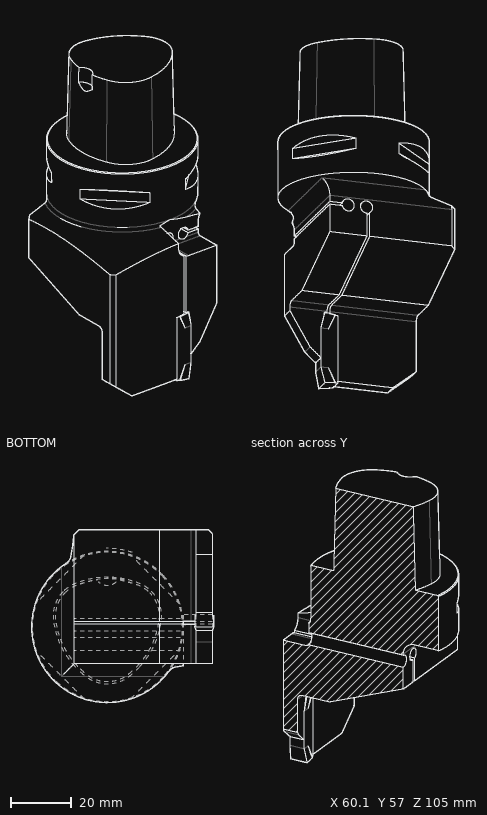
import cadquery as cq
import math


shank_length = 30.0
lobe_mean_radius = 17.6
lobe_offset = 1.2
shank_taper = 0.7
lobe_count = 3
lobe_half_angle = 26

notch_radius = 4.2
notch_axis_y = -17.8
notch_depth = 5.5
notch_tip_length = 3.2

flange_radius = 25.0
flange_height = 20.1
flange_chamfer = 0.3
gripper_count = 4
gripper_z = -9.9
gripper_floor_radius = 22.2
gripper_floor_half_height = 1.8
gripper_flank_angle = 30
gripper_reach = 27.3

block_left = -10.9
block_right = 34.6
block_front = -32.0
block_back = 12.1
block_top = -flange_height
flare_radius = 4.2
left_chamfer = 1.6
right_chamfer = 1.4
shoulder_angle = 15
shoulder_fillet_width = 0.9
shoulder_outer_radius = 52.5
slope_start_z = -37.0
slope_end_x = 17.1
block_bottom = -48.1

blade_left = 29.2
blade_bottom = -73.8
blade_fillet = 1.7
jaw_end = -51.0
jaw_knee = (5.0, -62.9)
jaw_tip_z = -66.3
heel_bottom_y = -23.8
heel_side_z = -67.2

step_wall_x = flange_radius
step_wall_y = -4.1
step_floor_z = -29.5
step_x_fillet = 0.9
step_y_fillet = 4.2

relief_radius = 2.1
relief_z = -26.9
back_relief_y = 5.7
clamp_relief_y = -0.7
clamp_slot_y = -1.4
slot_width = 0.9

insert_tip_z = -75.0
insert_length = 24.7
insert_front = -4.7
insert_back = 1.3
insert_relief = 0.6
waist_half_length = 6.8
head_width = 6.3
head_right = 35.1
head_left = head_right - head_width
head_front_y = -3.7
head_root_y = -1.4
head_front_rise = insert_relief * head_front_y / insert_front
insert_mid_z = insert_tip_z + insert_length / 2


def prism_along_x(outline, x_start, x_end):
    """Extrude a closed YZ outline between two X positions."""
    return cq.Workplane("YZ", origin=(x_start, 0, 0)).polyline(outline).close().extrude(x_end - x_start)


def lobed_wire(radius, z):
    """Three-lobed closed outline of alternating tight and wide arcs, one lobe peak on +Y."""
    def point(reach, angle):
        turn = math.radians(angle)
        return cq.Vector(reach * math.cos(turn), reach * math.sin(turn), z)

    edges = []
    lobe_pitch = 360 / lobe_count
    for i in range(lobe_count):
        peak = 90 + i * lobe_pitch
        lobe_start = point(radius, peak - lobe_half_angle)
        lobe_peak = point(radius + lobe_offset, peak)
        lobe_end = point(radius, peak + lobe_half_angle)
        flat_middle = point(radius - lobe_offset, peak + lobe_pitch / 2)
        next_lobe_start = point(radius, peak + lobe_pitch - lobe_half_angle)
        edges.append(cq.Edge.makeThreePointArc(lobe_start, lobe_peak, lobe_end))
        edges.append(cq.Edge.makeThreePointArc(lobe_end, flat_middle, next_lobe_start))
    return cq.Wire.assembleEdges(edges)


def make_shank():
    base = lobed_wire(lobe_mean_radius, 0)
    end = lobed_wire(lobe_mean_radius - shank_taper, shank_length)
    shank = cq.Workplane(cq.Solid.makeLoft([base, end], True))
    notch_bottom = shank_length - notch_depth
    notch = (
        cq.Workplane("XZ")
        .moveTo(0, shank_length)
        .lineTo(notch_radius, shank_length)
        .lineTo(notch_radius, notch_bottom)
        .lineTo(0, notch_bottom - notch_tip_length)
        .close()
        .revolve(360, (0, 0, 0), (0, 1, 0))
        .translate((0, notch_axis_y, 0))
    )
    return shank.cut(notch)


def make_flange():
    flange = (
        cq.Workplane("XY", origin=(0, 0, -flange_height))
        .circle(flange_radius)
        .extrude(flange_height)
        .faces(">Z").edges().chamfer(flange_chamfer)
    )
    flank_rise = (gripper_reach - gripper_floor_radius) * math.tan(math.radians(gripper_flank_angle))
    mouth_half_height = gripper_floor_half_height + flank_rise
    groove = (
        cq.Workplane("XZ")
        .polyline([
            (gripper_floor_radius, gripper_z - gripper_floor_half_height),
            (gripper_reach, gripper_z - mouth_half_height),
            (gripper_reach, gripper_z + mouth_half_height),
            (gripper_floor_radius, gripper_z + gripper_floor_half_height),
        ])
        .close()
        .extrude(flange_radius, both=True)
    )
    step = 360 / gripper_count
    for i in range(gripper_count):
        flange = flange.cut(groove.rotate((0, 0, 0), (0, 0, 1), step * (i + 0.5)))
    return flange


def shoulder_envelope():
    """Space under the flange, bounded on top by a blend and a shallow cone."""
    slope = math.radians(shoulder_angle)
    tangent = shoulder_fillet_width / math.cos(slope)
    blend_radius = tangent / math.tan((math.pi / 2 - slope) / 2)
    blend_end_r = flange_radius + shoulder_fillet_width
    blend_end_z = block_top - tangent - shoulder_fillet_width * math.tan(slope)
    mid_turn = (math.pi / 2 + slope) / 2
    blend_mid_r = flange_radius + blend_radius * (1 - math.sin(mid_turn))
    blend_mid_z = block_top - blend_radius * math.cos(mid_turn)
    outer_z = blend_end_z - (shoulder_outer_radius - blend_end_r) * math.tan(slope)
    return (
        cq.Workplane("XZ")
        .moveTo(0, block_top)
        .lineTo(flange_radius, block_top)
        .threePointArc((blend_mid_r, blend_mid_z), (blend_end_r, blend_end_z))
        .lineTo(shoulder_outer_radius, outer_z)
        .lineTo(shoulder_outer_radius, insert_tip_z)
        .lineTo(0, insert_tip_z)
        .close()
        .revolve(360, (0, 0, 0), (0, 1, 0))
    )


def make_block():
    """Block and blade: the overlap of an XZ outline, a YZ outline and the shoulder envelope."""
    flare_bottom = block_top - flare_radius
    flare_inset = flare_radius * (1 - math.sqrt(0.5))
    depth = block_back + flare_radius - block_front
    width_outline = (
        cq.Workplane("XZ", origin=(0, block_front, 0))
        .moveTo(block_left - flare_radius, block_top)
        .threePointArc(
            (block_left - flare_inset, block_top - flare_inset),
            (block_left, flare_bottom),
        )
        .lineTo(block_left, slope_start_z)
        .lineTo(slope_end_x, block_bottom)
        .lineTo(blade_left - blade_fillet, block_bottom)
        .radiusArc((blade_left, block_bottom - blade_fillet), blade_fillet)
        .lineTo(blade_left, blade_bottom)
        .lineTo(block_right, blade_bottom)
        .lineTo(block_right, block_top)
        .close()
        .extrude(-depth)
    )
    depth_outline = (
        cq.Workplane("YZ", origin=(block_left - flare_radius, 0, 0))
        .moveTo(block_back + flare_radius, block_top)
        .threePointArc(
            (block_back + flare_inset, block_top - flare_inset),
            (block_back, flare_bottom),
        )
        .lineTo(block_back, jaw_end)
        .lineTo(*jaw_knee)
        .lineTo(insert_back, jaw_tip_z)
        .lineTo(insert_front, jaw_tip_z)
        .lineTo(insert_front, blade_bottom)
        .lineTo(heel_bottom_y, blade_bottom)
        .lineTo(block_front, heel_side_z)
        .lineTo(block_front, block_top)
        .close()
        .extrude(block_right - block_left + flare_radius)
    )
    block = width_outline.intersect(depth_outline).intersect(shoulder_envelope())
    for corner_x, inward in ((block_left, left_chamfer), (block_right, -right_chamfer)):
        corner = (
            cq.Workplane("XY", origin=(0, 0, insert_tip_z))
            .polyline([
                (corner_x - inward, block_front),
                (corner_x + inward, block_front),
                (corner_x - inward, block_front + 2 * abs(inward)),
            ])
            .close()
            .extrude(block_top - insert_tip_z)
        )
        block = block.cut(corner)
    return block


def step_cutter():
    """Clearance beside the flange: walls facing +X and +Y, each with a rounded foot."""
    y_end = block_back + flare_radius
    x_profile = (
        cq.Workplane("XZ", origin=(0, step_wall_y, 0))
        .moveTo(step_wall_x, block_top)
        .lineTo(step_wall_x, step_floor_z + step_x_fillet)
        .radiusArc((step_wall_x + step_x_fillet, step_floor_z), -step_x_fillet)
        .lineTo(block_right, step_floor_z)
        .lineTo(block_right, block_top)
        .close()
        .extrude(step_wall_y - y_end)
    )
    y_profile = (
        cq.Workplane("YZ", origin=(step_wall_x, 0, 0))
        .moveTo(step_wall_y, block_top)
        .lineTo(step_wall_y, step_floor_z + step_y_fillet)
        .radiusArc((step_wall_y + step_y_fillet, step_floor_z), -step_y_fillet)
        .lineTo(y_end, step_floor_z)
        .lineTo(y_end, block_top)
        .close()
        .extrude(block_right - step_wall_x)
    )
    return x_profile.intersect(y_profile)


def clamp_cutter():
    """Relief holes along X, one slot out of the back and one slot down to the insert."""
    x_start = block_left - flare_radius
    length = block_right - x_start
    half_slot = slot_width / 2
    holes = (
        cq.Workplane("YZ", origin=(x_start, 0, 0))
        .pushPoints([(back_relief_y, relief_z), (clamp_relief_y, relief_z)])
        .circle(relief_radius)
        .extrude(length)
    )
    back_slot = prism_along_x([
        (back_relief_y, relief_z - half_slot),
        (block_back + flare_radius, relief_z - half_slot),
        (block_back + flare_radius, relief_z + half_slot),
        (back_relief_y, relief_z + half_slot),
    ], x_start, block_right)
    clamp_slot = prism_along_x([
        (clamp_slot_y - half_slot, insert_mid_z),
        (clamp_slot_y + half_slot, insert_mid_z),
        (clamp_slot_y + half_slot, relief_z),
        (clamp_slot_y - half_slot, relief_z),
    ], x_start, block_right)
    return holes.union(back_slot).union(clamp_slot)


def make_insert():
    """Bar as thick as the blade, with a wider head at each end that tapers towards the waist."""
    half_length = insert_length / 2
    front_half_length = half_length - insert_relief
    bar = prism_along_x([
        (0, insert_mid_z - half_length),
        (insert_front, insert_mid_z - front_half_length),
        (insert_front, insert_mid_z + front_half_length),
        (0, insert_mid_z + half_length),
        (insert_back, insert_mid_z + waist_half_length),
        (insert_back, insert_mid_z - waist_half_length),
    ], blade_left, block_right)
    for end in (-1, 1):
        tip_z = insert_mid_z + end * half_length
        waist_z = insert_mid_z + end * waist_half_length
        head_side = prism_along_x([
            (0, tip_z),
            (head_front_y, tip_z - end * head_front_rise),
            (head_root_y, waist_z),
            (insert_back, waist_z),
        ], head_left, head_right)
        head_taper = (
            cq.Workplane("XZ")
            .polyline([
                (head_left, tip_z),
                (head_right, tip_z),
                (block_right, waist_z),
                (blade_left, waist_z),
            ])
            .close()
            .extrude(-insert_front, both=True)
        )
        bar = bar.union(head_side.intersect(head_taper))
    return bar


insert = make_insert()
holder = make_flange().union(make_shank()).union(make_block())
holder = holder.cut(step_cutter()).cut(clamp_cutter()).cut(insert)

result = cq.Compound.makeCompound([holder.solids().val(), insert.solids().val()])